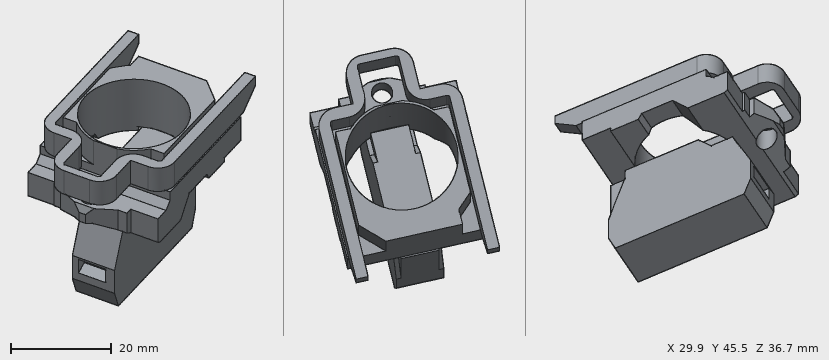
import cadquery as cq


deck_width = 29.9
deck_rear = 16.55
deck_front = -11.4
deck_front_foot = -2.1
lug_top = -3.55
lug_top_rear = -13.05
shoulder_front = -16.25
nose_front = -20.45
nose_top_bevel_rear = -19.75
nose_top_bevel_foot = -5.2
nose_bottom = -7.35
lug_bottom = -9.9
lug_bottom_front = -15.45
lug_bottom_rear = -7.28
arch_top = -5.4
arch_front = -3.8
arch_rear = 3.15
pad_bottom = -6.85
pad_front = 3.9
pad_rear = 10.15
rear_bottom = -5.9

step_half_width = 8.7
nose_half_width = 6.6
tip_half_width = 0.75
left_step_front = -16.75
right_step_front = -17.75
screw_hole_diameter = 4.2
screw_hole_y = -17.0

bore_diameter = 22.4
plate_top = 6.1
plate_half_width = 11.6
plate_front = -8.05
plate_front_radius = 11.75
left_notch_width = 3.05
left_notch_depth = 3.25
left_notch_bevel = 2.95
right_bevel = 4.5

frame_height = 5.9
frame_rear = 22.88
frame_half_width = 14.65
frame_inner_half_width = 12.2
frame_front = lug_top_rear
frame_inner_front = -10.5
loop_half_width = 6.8
loop_inner_half_width = 4.25
loop_front = -22.6
loop_inner_front = -20.88
outer_bend_radius = 3.85
neck_bend_radius = 4.0
inner_bend_radius = 0.55
frame_tip_height = 2.35
frame_tip_run = 4.78

block_width = 9.75
block_top = -7.0
block_bottom = -30.6
block_half_length = 16.05
block_top_rear = 12.3
block_top_front = -10.45
block_side_top = -20.65
block_side_bottom = -26.42
block_base_half_length = 14.55
core_width = 7.78
tongue_top = -8.5
rear_slope_top = -9.32
relief_top_rear = -4.25
relief_floor = -10.7
relief_floor_rear = -7.1

block_lower_outline = [
    (-block_half_length, block_side_top),
    (-block_half_length, block_side_bottom),
    (-block_base_half_length, block_bottom),
    (block_base_half_length, block_bottom),
    (block_half_length, block_side_bottom),
]

window_left = -3.45
window_right = 2.8
window_top = -21.1
window_bottom = -24.5
window_depth = 2.35
window_rise = 1.0
window_back_run = 0.75


def side_prism(points, x_start, x_end):
    """Extrude a (Y, Z) outline along X."""
    return cq.Workplane("YZ").workplane(offset=x_start).polyline(points).close().extrude(x_end - x_start)


def fillet_upright_edges(body, corners, radius):
    """Round the vertical edges that stand at the given (X, Y) corners."""
    for x, y in corners:
        nearest_edge = cq.selectors.NearestToPointSelector((x, y, frame_height / 2))
        body = body.edges("|Z").edges(nearest_edge).fillet(radius)
    return body


def mirrored(x, y):
    """The (X, Y) point and its mirror image across the YZ plane."""
    return [(-x, y), (x, y)]



def make_deck():
    """Side profile trimmed to the lug's plan outline."""
    profile = [
        (deck_rear, 0),
        (deck_front, 0),
        (deck_front, deck_front_foot),
        (lug_top_rear, lug_top),
        (nose_top_bevel_rear, lug_top),
        (nose_front, nose_top_bevel_foot),
        (nose_front, nose_bottom),
        (nose_top_bevel_rear, nose_bottom),
        (lug_bottom_front, lug_bottom),
        (lug_bottom_rear, lug_bottom),
        (arch_front, arch_top),
        (arch_rear, arch_top),
        (pad_front, pad_bottom),
        (pad_rear, pad_bottom),
        (pad_rear, rear_bottom),
        (deck_rear, rear_bottom),
    ]
    outline = [
        (-deck_width / 2, deck_rear),
        (-deck_width / 2, shoulder_front),
        (-step_half_width, shoulder_front),
        (-step_half_width, left_step_front),
        (-nose_half_width, left_step_front),
        (-nose_half_width, right_step_front),
        (-tip_half_width, nose_front),
        (tip_half_width, nose_front),
        (nose_half_width, right_step_front),
        (step_half_width, right_step_front),
        (step_half_width, shoulder_front),
        (deck_width / 2, shoulder_front),
        (deck_width / 2, deck_rear),
    ]
    body = side_prism(profile, -deck_width / 2, deck_width / 2)
    footprint = cq.Workplane("XY").workplane(offset=lug_bottom).polyline(outline).close().extrude(-lug_bottom)
    return body.intersect(footprint)


def make_plate():
    """Raised plate; around the bore its front bulges out to the front face of the deck."""
    notch_x = left_notch_width - plate_half_width
    notch_y = deck_rear - left_notch_depth
    outline = [
        (notch_x, deck_rear),
        (notch_x, notch_y),
        (-plate_half_width, notch_y - left_notch_bevel),
        (-plate_half_width, plate_front),
        (plate_half_width, plate_front),
        (plate_half_width, deck_rear - right_bevel),
        (plate_half_width - right_bevel, deck_rear),
    ]
    plate = cq.Workplane("XY").polyline(outline).close().extrude(plate_top)
    round_front = cq.Workplane("XY").circle(plate_front_radius).extrude(plate_top)
    in_front_of_deck = (
        cq.Workplane("XY")
        .box(deck_width, plate_front_radius, plate_top, centered=(True, False, False))
        .translate((0, deck_front - plate_front_radius, 0))
    )
    behind_plate_front = (
        cq.Workplane("XY")
        .box(deck_width, 2 * plate_front_radius, plate_top, centered=(True, False, False))
        .translate((0, plate_front, 0))
    )
    return plate.union(round_front.cut(in_front_of_deck).cut(behind_plate_front))


def stepped_prism(half_width, front, loop_half, loop_end):
    """Upright prism whose front carries a narrower, centred loop."""
    outline = [
        (-half_width, frame_rear),
        (-half_width, front),
        (-loop_half, front),
        (-loop_half, loop_end),
        (loop_half, loop_end),
        (loop_half, front),
        (half_width, front),
        (half_width, frame_rear),
    ]
    return cq.Workplane("XY").polyline(outline).close().extrude(frame_height)


def make_frame():
    """Bent strip with two rearward arms and a loop at the front."""
    outer = stepped_prism(frame_half_width, frame_front, loop_half_width, loop_front)
    outer_corners = mirrored(frame_half_width, frame_front) + mirrored(loop_half_width, loop_front)
    outer = fillet_upright_edges(outer, outer_corners, outer_bend_radius)

    inner = stepped_prism(frame_inner_half_width, frame_inner_front, loop_inner_half_width, loop_inner_front)
    inner_corners = [
        *mirrored(frame_inner_half_width, frame_inner_front),
        *mirrored(loop_inner_half_width, loop_inner_front),
    ]
    inner = fillet_upright_edges(inner, inner_corners, inner_bend_radius)
    inner = fillet_upright_edges(inner, mirrored(loop_inner_half_width, frame_inner_front), neck_bend_radius)

    tip_slants = side_prism(
        [(frame_rear, 0), (frame_rear, frame_height - frame_tip_height), (frame_rear - frame_tip_run, 0)],
        -frame_half_width,
        frame_half_width,
    )
    return outer.cut(inner).cut(tip_slants)


def make_collar():
    body = make_deck().union(make_plate()).union(make_frame())
    bore_height = plate_top - lug_bottom
    bore = cq.Workplane("XY").workplane(offset=lug_bottom).circle(bore_diameter / 2).extrude(bore_height)
    screw_hole = (
        cq.Workplane("XY")
        .workplane(offset=lug_bottom)
        .center(0, screw_hole_y)
        .circle(screw_hole_diameter / 2)
        .extrude(lug_top - lug_bottom)
    )
    return body.cut(bore).cut(screw_hole).cut(make_block_core())



def make_block_core():
    """Middle slice of the block: full-height front and the rear tongue."""
    profile = [
        (block_top_rear, block_top),
        (block_top_front, block_top),
        *block_lower_outline,
        (block_half_length, tongue_top),
        (block_top_rear, tongue_top),
    ]
    return side_prism(profile, -core_width / 2, core_width / 2)


def make_block_sides():
    """Full-width body, relieved under the lug and sloped at the rear."""
    slope = (block_half_length + block_top_front) / (block_top - block_side_top)
    relief_floor_front = block_top_front - slope * (block_top - relief_floor)
    profile = [
        (block_top_rear, block_top),
        (relief_top_rear, block_top),
        (relief_floor_rear, relief_floor),
        (relief_floor_front, relief_floor),
        *block_lower_outline,
        (block_half_length, block_side_top),
        (block_top_rear, rear_slope_top),
    ]
    return side_prism(profile, -block_width / 2, block_width / 2)


def make_window():
    """Slot with a flat ceiling, a rising floor and a tilted back wall."""
    front = -block_half_length
    apex_y = front + window_depth
    profile = [
        (front, window_top),
        (front, window_bottom),
        (apex_y, window_bottom + window_rise),
        (apex_y - window_back_run, window_top),
    ]
    return side_prism(profile, window_left, window_right)


def make_contact_block():
    return make_block_sides().union(make_block_core()).cut(make_window())


collar = make_collar()
contact_block = make_contact_block()

result = cq.Compound.makeCompound([collar.solids().val(), contact_block.solids().val()])